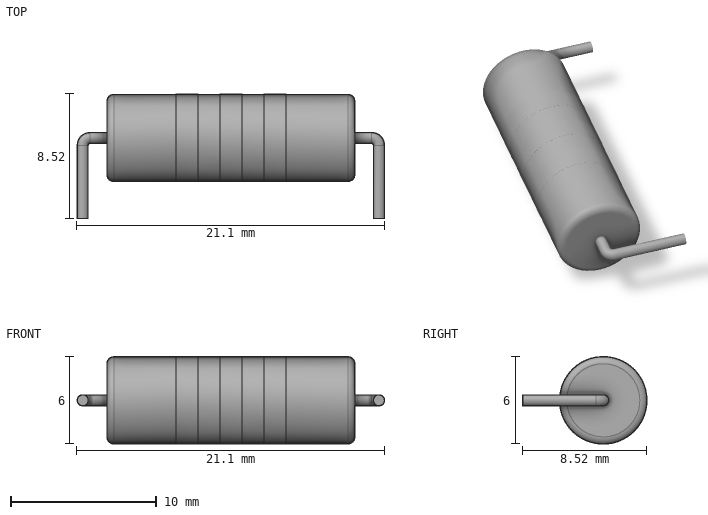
import cadquery as cq

overall_length = 21.07
body_length = 17.0
body_diameter = 5.98
body_edge_radius = 0.48
band_diameter = 6.0
band_width = 1.52
band_pitch = 3.01
band_count = 3
lead_diameter = 0.75
lead_bend_radius = 0.5
lead_reach = 5.52

lead_offset = (overall_length - lead_diameter) / 2


def cylinder_along_x(diameter, length, center_x):
    """Cylinder on the X axis, centred at center_x."""
    return (
        cq.Workplane("YZ", origin=(center_x - length / 2, 0, 0))
        .circle(diameter / 2)
        .extrude(length)
    )


def make_body():
    """Cylindrical body with rounded ends and slightly raised bands."""
    body = cylinder_along_x(body_diameter, body_length, 0).edges().fillet(body_edge_radius)
    for index in range(band_count):
        center_x = (index - (band_count - 1) / 2) * band_pitch
        body = body.union(cylinder_along_x(band_diameter, band_width, center_x))
    return body


def make_leads():
    """One round wire through the body, both ends bent toward -Y."""
    bend_start = lead_offset - lead_bend_radius
    path = (
        cq.Workplane("XY")
        .moveTo(-lead_offset, -lead_reach)
        .lineTo(-lead_offset, -lead_bend_radius)
        .tangentArcPoint((-bend_start, 0), relative=False)
        .lineTo(bend_start, 0)
        .tangentArcPoint((lead_offset, -lead_bend_radius), relative=False)
        .lineTo(lead_offset, -lead_reach)
    )
    return (
        cq.Workplane("XZ", origin=(-lead_offset, -lead_reach, 0))
        .circle(lead_diameter / 2)
        .sweep(path)
    )


result = make_body().union(make_leads())